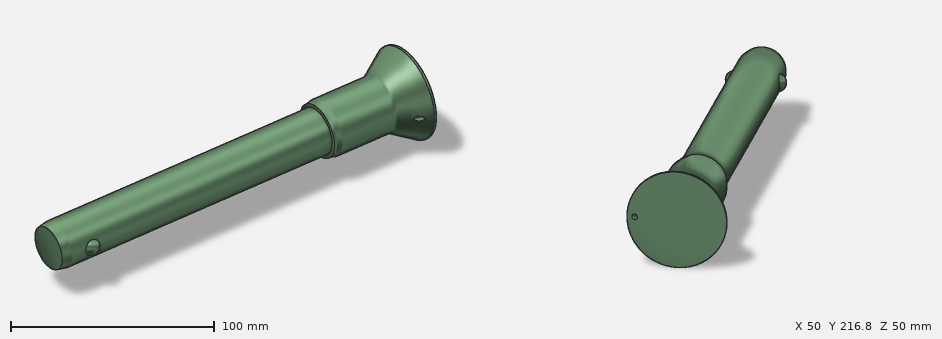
import cadquery as cq
import math


shank_radius = 12.5
shank_length = 162.6
tip_radius = 11.5
tip_length = 5.3

handle_length = 54.2
collar_radius = 14.5
collar_length = 1.7
sleeve_radius = 15.25
sleeve_start = 4.4
flange_radius = 25.0
rim_thickness = 1.3
flare_length = 15.6
flare_blend_radius = 4.0

lanyard_hole_diameter = 2.8
lanyard_hole_offset = 21.1

ball_radius = 4.5
ball_reach = 15.3
ball_from_tip = 17.7

rim_start = handle_length - rim_thickness
flare_start = rim_start - flare_length


def turned_body():
    """Revolve the half outline of the shank and handle about the Y axis."""
    flare_run = flange_radius - sleeve_radius
    flare_angle = math.atan2(flare_run, flare_length)
    blend_length = flare_blend_radius * math.tan(flare_angle / 2)
    blend_end = (
        sleeve_radius + blend_length * math.sin(flare_angle),
        flare_start + blend_length * math.cos(flare_angle),
    )

    outline = (
        cq.Workplane("XY")
        .moveTo(0, -shank_length)
        .lineTo(tip_radius, -shank_length)
        .lineTo(shank_radius, tip_length - shank_length)
        .lineTo(shank_radius, 0)
        .lineTo(collar_radius, 0)
        .lineTo(collar_radius, collar_length)
        .lineTo(sleeve_radius, sleeve_start)
        .lineTo(sleeve_radius, flare_start - blend_length)
        .tangentArcPoint(blend_end, relative=False)
        .lineTo(flange_radius, rim_start)
        .lineTo(flange_radius, handle_length)
        .lineTo(0, handle_length)
        .close()
    )
    return outline.revolve(360, (0, 0, 0), (0, 1, 0))


def lanyard_hole():
    """Cylinder along Y that passes through the flange on the +X side."""
    return (
        cq.Workplane("XZ", origin=(lanyard_hole_offset, handle_length, 0))
        .circle(lanyard_hole_diameter / 2)
        .extrude(handle_length)
    )


def locking_ball(turn):
    """Ball half sunk in the shank, turned about the Y axis to its side."""
    ball = cq.Workplane("XY").sphere(ball_radius)
    ball = ball.translate((ball_reach - ball_radius, ball_from_tip - shank_length, 0))
    return ball.rotate((0, 0, 0), (0, 1, 0), turn)


result = turned_body().cut(lanyard_hole())
for side_turn in (0, 180):
    result = result.union(locking_ball(side_turn))